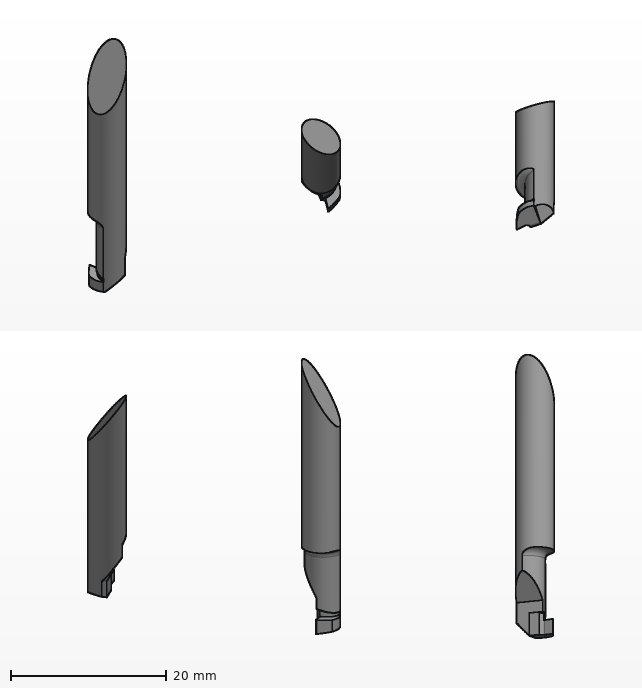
import cadquery as cq
import math

LENGTH = 36.58
DIAMETER = 5.0
RADIUS = DIAMETER / 2
BEVEL_ANGLE = 30

NECK_RADIUS = 2.45
NECK_OFFSET = 1.2
NECK_FILLET = 1.0
NECK_TOP = 11.15

FLAT_Y = 0.3
FLAT_TOP = 4.5
CHAMFER = 1.8

SEAT_X = (NECK_OFFSET**2 + RADIUS**2 - NECK_RADIUS**2) / (2 * NECK_OFFSET)
SEAT_TOP = 2.9
SEAT_SLOPE = 0.31
HEAD_HEIGHT = 1.98
RELIEF_ANGLE = 5
ROOT_STEP = 0.1

GROOVE_FLOOR = (-1.25, -0.2)
GROOVE_BEND = (-0.88, -0.05)
GROOVE_END = (-0.73, FLAT_Y)

FLANK_MIDDLE = (-2.1, -1.1)
FLANK_END_Y = -1.95
LAND_WIDTH = 0.2
LAND_SETBACK = 0.02

CLEAR = 3 * RADIUS


def shank_half_width(offset):
    """Half the width of the round section at an offset from its axis."""
    return math.sqrt(RADIUS**2 - offset**2)


def extrude_across_x(points, x_start, x_end):
    """Prism with a YZ outline, running from x_start to x_end."""
    return (
        cq.Workplane("YZ", origin=(x_start, 0, 0))
        .polyline(points).close().extrude(x_end - x_start)
    )


def shank_blank():
    """Cylinder with a slanted top that peaks on the +Y side."""
    bevel_height = 2 * RADIUS / math.tan(math.radians(BEVEL_ANGLE))
    outline = [
        (-RADIUS, 0),
        (RADIUS, 0),
        (RADIUS, LENGTH),
        (-RADIUS, LENGTH - bevel_height),
    ]
    envelope = extrude_across_x(outline, -RADIUS, RADIUS)
    return cq.Workplane("XY").circle(RADIUS).extrude(LENGTH).intersect(envelope)


def neck_relief():
    """Space around the neck, filleted where it runs out into the shank."""
    fillet_mid = NECK_FILLET * (1 - math.sqrt(0.5))
    return (
        cq.Workplane("XZ", origin=(NECK_OFFSET, 0, 0))
        .moveTo(NECK_RADIUS, 0)
        .lineTo(CLEAR, 0)
        .lineTo(CLEAR, NECK_TOP)
        .lineTo(NECK_RADIUS + NECK_FILLET, NECK_TOP)
        .threePointArc(
            (NECK_RADIUS + fillet_mid, NECK_TOP - fillet_mid),
            (NECK_RADIUS, NECK_TOP - NECK_FILLET),
        )
        .close()
        .revolve(360, (0, 0, 0), (0, 1, 0))
    )


def flat_cut():
    """Space above the flat, ending in a slope up to the shank surface."""
    slope_height = (CLEAR - FLAT_Y) / math.tan(math.radians(BEVEL_ANGLE))
    outline = [
        (FLAT_Y, 0),
        (CLEAR, 0),
        (CLEAR, FLAT_TOP + slope_height),
        (FLAT_Y, FLAT_TOP),
    ]
    return extrude_across_x(outline, -CLEAR, CLEAR)


def end_chamfer():
    """45 degree corner cut away at the +X side of the lower end."""
    return (
        cq.Workplane("XZ", origin=(0, CLEAR, 0))
        .polyline([(RADIUS - CHAMFER, 0), (RADIUS, 0), (RADIUS, CHAMFER)])
        .close().extrude(2 * CLEAR)
    )


def end_relief():
    """Wedge that lifts the end face towards -Y, starting at the shank axis."""
    rise = RADIUS * math.tan(math.radians(RELIEF_ANGLE))
    return extrude_across_x([(0, 0), (-RADIUS, 0), (-RADIUS, rise)], -RADIUS, RADIUS)


def below_slope(height, slope):
    """Space on the -X side of the seat wall, under a plane sloping along Y."""
    outline = [
        (-RADIUS, 0),
        (RADIUS, 0),
        (RADIUS, height + slope * RADIUS),
        (-RADIUS, height - slope * RADIUS),
    ]
    return extrude_across_x(outline, -RADIUS, SEAT_X)


def make_shank():
    """Shank with its neck, open below for the cutting tip."""
    return (
        shank_blank()
        .cut(neck_relief())
        .cut(flat_cut())
        .cut(end_chamfer())
        .cut(end_relief())
        .cut(below_slope(SEAT_TOP, SEAT_SLOPE))
    )


def tip_head():
    """Hooked cutting head, with its cutting edge level with the shank axis."""
    flank_end = (-shank_half_width(FLANK_END_Y), FLANK_END_Y)
    heel_end = (SEAT_X, -shank_half_width(SEAT_X))
    plan = (
        cq.Workplane("XY")
        .moveTo(-RADIUS, 0)
        .lineTo(LAND_SETBACK - RADIUS, -LAND_WIDTH)
        .threePointArc(FLANK_MIDDLE, flank_end)
        .threePointArc((0, -RADIUS), heel_end)
        .lineTo(SEAT_X, FLAT_Y)
        .lineTo(*GROOVE_END)
        .close()
        .extrude(SEAT_TOP)
    )
    top_slope = math.tan(math.radians(RELIEF_ANGLE))
    return plan.intersect(below_slope(HEAD_HEIGHT, top_slope))


def tip_root():
    """Slightly narrower continuation of the neck, joining the head to the seat."""
    return (
        cq.Workplane("XY")
        .center(NECK_OFFSET, 0)
        .circle(NECK_RADIUS - ROOT_STEP)
        .extrude(2 * SEAT_TOP)
        .intersect(below_slope(SEAT_TOP, SEAT_SLOPE))
        .cut(flat_cut())
    )


def chip_groove():
    """Hollow that leads from the cutting edge into the root."""
    return (
        cq.Workplane("XY")
        .moveTo(-RADIUS, 0)
        .lineTo(*GROOVE_FLOOR)
        .threePointArc(GROOVE_BEND, GROOVE_END)
        .lineTo(GROOVE_END[0], RADIUS)
        .lineTo(-RADIUS, RADIUS)
        .close()
        .extrude(2 * SEAT_TOP)
    )


def make_tip():
    """Cutting tip that fills the seat and hooks out towards -X."""
    return tip_head().union(tip_root()).cut(chip_groove()).cut(end_relief())


shank = make_shank()
tip = make_tip()

result = cq.Compound.makeCompound([shank.val(), tip.val()])